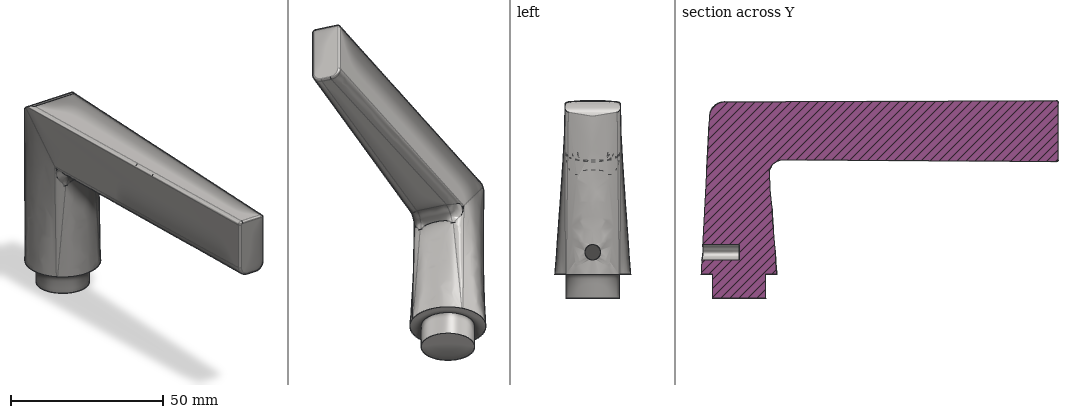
import cadquery as cq
import math

overall_length = 117.5
post_diameter = 25.0
post_radius = post_diameter / 2
spigot_diameter = 17.6
spigot_height = 7.9
arm_tip_x = overall_length - post_radius

outer_corner_x = -9.5
outer_corner_z = 56.7
inner_corner_x = 9.8
inner_corner_z = 37.6
outer_half_width = 9.2
inner_half_width = 8.7

tip_top_z = 57.1
tip_bottom_z = 37.0
tip_half_width = 4.9

outer_edge_radius = 1.2
inner_edge_radius = 3.3
outer_bend_radius = 4.7
inner_bend_radius = 4.7
bend_depth = 4.9
bend_post_half_width = 8.8
bend_arm_half_width = 8.3
tip_edge_radius = 0.7
corner_angles = (45, 135, 225, 315)
corner_half_angle = 1.0

hole_diameter = 5.0
hole_height = 7.3
hole_depth = post_radius


def rounded_section(plane, height, outer_half, inner_half):
    """Four-sided section; local +X is the half width, local +Y runs from inner to outer side."""
    outline = cq.Workplane("XY").polyline([
        (inner_half, 0),
        (outer_half, height),
        (-outer_half, height),
        (-inner_half, 0),
    ]).close()
    outer_corners = outline.vertices(">Y").vals()
    rounded_outside = outline.val().fillet2D(outer_edge_radius, outer_corners)
    inner_corners = cq.Workplane(obj=rounded_outside).vertices("<Y").vals()
    return rounded_outside.fillet2D(inner_edge_radius, inner_corners).moved(plane.location)


def post_circle():
    """Base circle split into eight arcs: four sides and four narrow corners."""
    def point(angle):
        return cq.Vector(
            post_radius * math.cos(math.radians(angle)),
            post_radius * math.sin(math.radians(angle)),
            0,
        )

    angles = []
    for corner in corner_angles:
        angles += [corner - corner_half_angle, corner + corner_half_angle]
    arcs = []
    for start, end in zip(angles, angles[1:] + [angles[0] + 360]):
        arcs.append(cq.Edge.makeThreePointArc(point(start), point((start + end) / 2), point(end)))
    return cq.Wire.assembleEdges(arcs)


def inner_bend():
    """Quarter-turn filling of the concave corner, with the same rounded inner edges as the lever."""
    pivot_x = inner_corner_x + inner_bend_radius
    pivot_z = inner_corner_z - inner_bend_radius
    post_side = cq.Plane(origin=(inner_corner_x, 0, pivot_z), xDir=(0, 1, 0), normal=(0, 0, 1))
    arm_side = cq.Plane(origin=(pivot_x, 0, inner_corner_z), xDir=(0, 1, 0), normal=(1, 0, 0))
    diagonal = inner_bend_radius * math.sqrt(0.5)
    path = (
        cq.Workplane("XZ")
        .moveTo(inner_corner_x, pivot_z)
        .threePointArc((pivot_x - diagonal, pivot_z + diagonal), (pivot_x, inner_corner_z))
    )
    start = rounded_section(post_side, bend_depth, bend_post_half_width, bend_post_half_width)
    end = rounded_section(arm_side, bend_depth, bend_arm_half_width, bend_arm_half_width)
    return cq.Workplane(obj=cq.Solid.sweep_multi([start, end], path.val()))


def outer_corner_waste():
    """Material outside the rounded outer corner between the post and the arm."""
    back_slope = (post_radius + outer_corner_x) / outer_corner_z
    arc_start = (outer_corner_x - back_slope * outer_bend_radius, outer_corner_z - outer_bend_radius)
    arc_end = (outer_corner_x + outer_bend_radius, outer_corner_z)
    setback = outer_bend_radius * (1 - math.sqrt(0.5))
    arc_middle = (outer_corner_x + setback, outer_corner_z - setback)
    margin = outer_bend_radius
    return (
        cq.Workplane("XZ")
        .moveTo(*arc_start)
        .threePointArc(arc_middle, arc_end)
        .lineTo(arc_end[0], outer_corner_z + margin)
        .lineTo(arc_start[0] - margin, outer_corner_z + margin)
        .lineTo(arc_start[0] - margin, arc_start[1])
        .close()
        .extrude(post_radius, both=True)
    )


mitre_dx = outer_corner_x - inner_corner_x
mitre_dz = outer_corner_z - inner_corner_z
mitre_plane = cq.Plane(
    origin=(inner_corner_x, 0, inner_corner_z),
    xDir=(0, 1, 0),
    normal=(mitre_dz, 0, -mitre_dx),
)
tip_plane = cq.Plane(origin=(arm_tip_x, 0, tip_bottom_z), xDir=(0, 1, 0), normal=(1, 0, 0))

mitre_length = math.hypot(mitre_dx, mitre_dz)
mitre = rounded_section(mitre_plane, mitre_length, outer_half_width, inner_half_width)
tip = rounded_section(tip_plane, tip_top_z - tip_bottom_z, tip_half_width, tip_half_width)

post = cq.Workplane(obj=cq.Solid.makeLoft([post_circle(), mitre], ruled=True))
sharp_arm = cq.Workplane(obj=cq.Solid.makeLoft([mitre, tip], ruled=True))
arm = sharp_arm.faces(">X").edges().fillet(tip_edge_radius)

spigot = cq.Workplane("XY").circle(spigot_diameter / 2).extrude(-spigot_height)
screw_hole = (
    cq.Workplane("YZ", origin=(0, 0, hole_height))
    .circle(hole_diameter / 2)
    .extrude(-hole_depth)
)

result = (
    post.union(arm)
    .union(inner_bend())
    .cut(outer_corner_waste())
    .union(spigot)
    .cut(screw_hole)
)